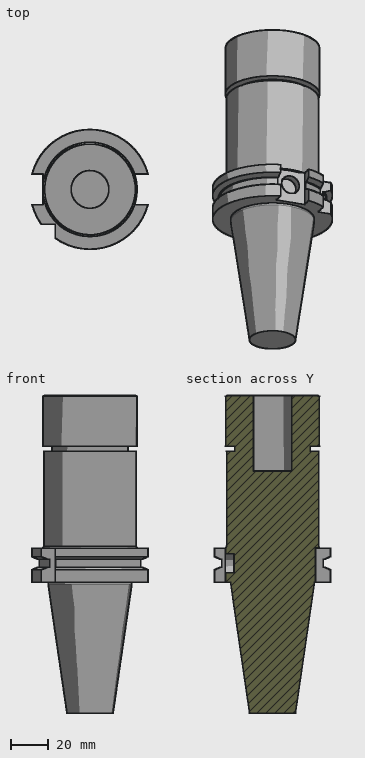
import cadquery as cq


gauge_diameter = 44.45
taper_length = 68.4
taper_ratio = 7 / 24
taper_end_diameter = gauge_diameter - taper_ratio * taper_length

flange_diameter = 63.55
flange_bottom = 1.0
flange_top = 19.1
groove_center = 11.1
groove_width = 7.0
groove_floor_diameter = 56.25
groove_floor_width = 4.0
groove_floor_step = 0.65
groove_flank_inner_radius = groove_floor_diameter / 2 + groove_floor_step

drive_slot_width = 16.1
left_slot_floor = 25.0
right_slot_floor = 22.8
notch_offset = 18.5
chip_hole_diameter = 10.0
chip_hole_depth = 4.6

body_diameter = 49.0
body_root_diameter = 50.0
body_root_height = 1.0
body_top = 70.5
neck_diameter = 40.5
nut_diameter = 50.0
nut_bottom = 73.0
nut_top = 100.0
nut_chamfer_width = 1.0
nut_chamfer_height = 0.5
bore_diameter = 20.0
bore_depth = 40.0


def make_turned_body():
    """Revolve the half section of the shank, flange, body and nut."""
    half_section = [
        (0, -taper_length),
        (taper_end_diameter / 2, -taper_length),
        (gauge_diameter / 2, 0),
        (gauge_diameter / 2, flange_bottom),
        (flange_diameter / 2, flange_bottom),
        (flange_diameter / 2, groove_center - groove_width / 2),
        (groove_flank_inner_radius, groove_center - groove_floor_width / 2),
        (groove_floor_diameter / 2, groove_center - groove_floor_width / 2),
        (groove_floor_diameter / 2, groove_center + groove_floor_width / 2),
        (groove_flank_inner_radius, groove_center + groove_floor_width / 2),
        (flange_diameter / 2, groove_center + groove_width / 2),
        (flange_diameter / 2, flange_top),
        (body_root_diameter / 2, flange_top),
        (body_diameter / 2, flange_top + body_root_height),
        (body_diameter / 2, body_top),
        (neck_diameter / 2, body_top),
        (neck_diameter / 2, nut_bottom),
        (nut_diameter / 2, nut_bottom),
        (nut_diameter / 2, nut_top - nut_chamfer_height),
        (nut_diameter / 2 - nut_chamfer_width, nut_top),
        (0, nut_top),
    ]
    return cq.Workplane("XZ").polyline(half_section).close().revolve(360, (0, 0), (0, 1))


def make_flange_cutter(x_range, y_range):
    """Box over the given X and Y ranges, as tall as the flange."""
    x_min, x_max = x_range
    y_min, y_max = y_range
    height = flange_top - flange_bottom
    box = cq.Workplane("XY").box(x_max - x_min, y_max - y_min, height, centered=False)
    return box.translate((x_min, y_min, flange_bottom))


def cut_drive_slots(part):
    """Cut the two opposed drive slots, which differ in depth."""
    reach = flange_diameter / 2
    slot_sides = (-drive_slot_width / 2, drive_slot_width / 2)
    part = part.cut(make_flange_cutter((-reach, -left_slot_floor), slot_sides))
    return part.cut(make_flange_cutter((right_slot_floor, reach), slot_sides))


def cut_orientation_notch(part):
    """Cut the square-cornered notch through the -X, -Y edge of the flange."""
    notch_range = (-flange_diameter / 2, -notch_offset)
    return part.cut(make_flange_cutter(notch_range, notch_range))


def cut_chip_hole(part):
    """Sink the blind data chip hole into the floor of the -X drive slot."""
    floor_plane = cq.Workplane("YZ", origin=(-left_slot_floor, 0, groove_center))
    return part.cut(floor_plane.circle(chip_hole_diameter / 2).extrude(chip_hole_depth))


def cut_tool_bore(part):
    """Sink the blind tool bore into the nut face."""
    bore = cq.Workplane("XY", origin=(0, 0, nut_top)).circle(bore_diameter / 2).extrude(-bore_depth)
    return part.cut(bore)


chuck = make_turned_body()
chuck = cut_drive_slots(chuck)
chuck = cut_orientation_notch(chuck)
chuck = cut_chip_hole(chuck)
result = cut_tool_bore(chuck)